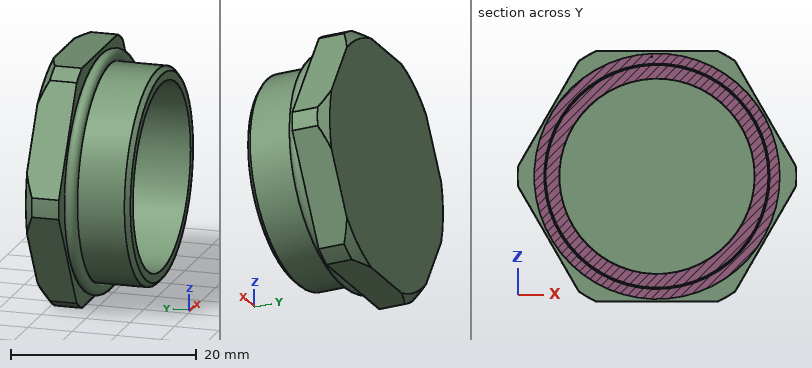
import cadquery as cq

corner_diameter = 30.0
across_flats = 27.0
head_thickness = 4.02
head_chamfer = 1.0

total_length = 11.0
plug_diameter = 24.0
plug_chamfer = 0.5
bore_diameter = 21.0
bore_depth = 8.0

ring_outer_diameter = 26.78
ring_section_diameter = 1.4
seat_overlap = 0.03


def cylinder(diameter, start, length):
    """Cylinder along the Y axis, from y = start toward -Y."""
    return cq.Workplane("XZ", origin=(0, start, 0)).circle(diameter / 2).extrude(length)


def make_head():
    """Hexagon with flats facing +Z and -Z, rounded corners and a conical outer chamfer."""
    hexagon = (
        cq.Workplane("XZ")
        .transformed(rotate=(0, 0, 30))
        .polygon(6, across_flats, circumscribed=True)
        .extrude(head_thickness)
    )
    envelope = cylinder(corner_diameter, 0, head_thickness).faces(">Y").chamfer(head_chamfer)
    return hexagon.intersect(envelope)


def make_plug():
    plug_length = total_length - head_thickness
    return cylinder(plug_diameter, -head_thickness, plug_length).faces("<Y").chamfer(plug_chamfer)


def make_ring():
    """Round-section ring, pressed slightly into the head so that the bodies join."""
    section_radius = ring_section_diameter / 2
    ring_radius = ring_outer_diameter / 2 - section_radius
    ring_y = -head_thickness - section_radius + seat_overlap
    return (
        cq.Workplane("XY")
        .center(ring_radius, ring_y)
        .circle(section_radius)
        .revolve(360, (-ring_radius, 0), (-ring_radius, 1))
    )


bore = cylinder(bore_diameter, bore_depth - total_length, bore_depth)
result = make_head().union(make_plug()).union(make_ring()).cut(bore)